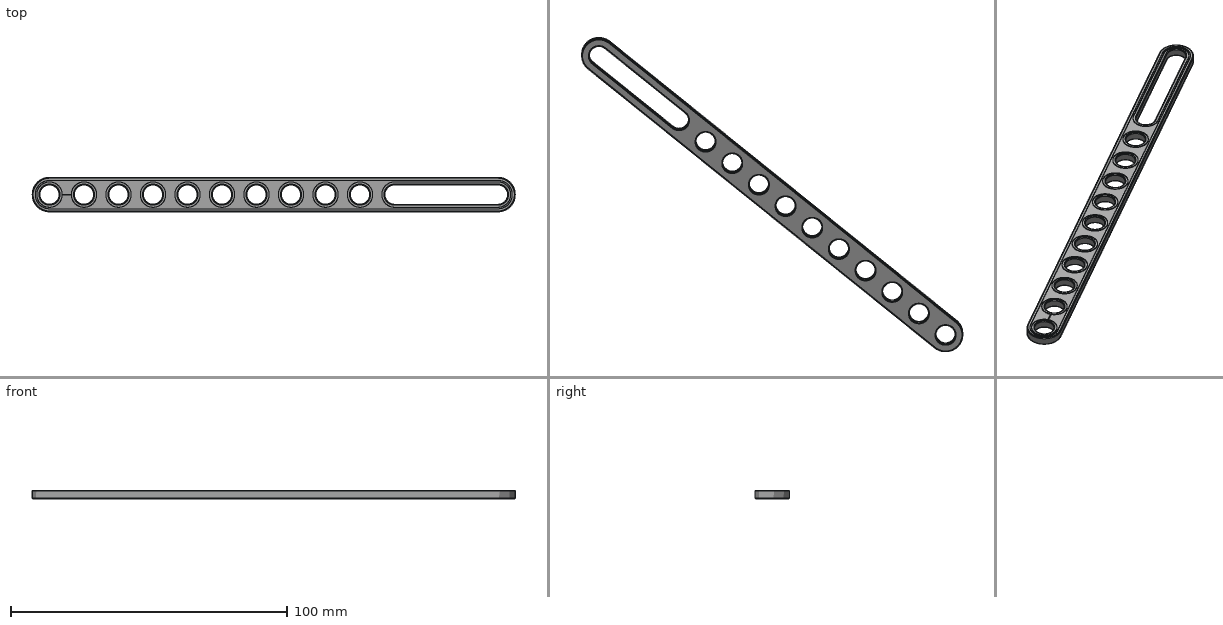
import cadquery as cq

pitch = 12.5
position_count = 14
round_hole_count = 10
hole_diameter = 7.0
collar_diameter = 9.2
rim_width = 1.1
recess_depth = 0.2
edge_chamfer = 0.3
groove_width = 0.2
groove_depth = 0.2

width = pitch
thickness = pitch / 4
half_span = (position_count - 1) * pitch / 2
first_hole_x = -half_span
slot_start_x = first_hole_x + round_hole_count * pitch
slot_end_x = half_span
recess_floor_z = thickness - recess_depth


def rounded_bar(start_x, end_x, diameter, bottom_z, height):
    """Round-ended bar whose end arcs are centred on start_x and end_x."""
    span = end_x - start_x
    return (
        cq.Workplane("XY", origin=((start_x + end_x) / 2, 0, bottom_z))
        .slot2D(span + diameter, diameter)
        .extrude(height)
    )


def hole_cylinders(diameter, bottom_z, height):
    """One cylinder on each round hole position."""
    centers = [(first_hole_x + i * pitch, 0) for i in range(round_hole_count)]
    return (
        cq.Workplane("XY", origin=(0, 0, bottom_z))
        .pushPoints(centers)
        .circle(diameter / 2)
        .extrude(height)
    )


def perforated_strip():
    """Round-ended strip with its holes and slot, every top and bottom edge chamfered."""
    strip = rounded_bar(-half_span, half_span, width, 0, thickness)
    strip = strip.cut(hole_cylinders(hole_diameter, 0, thickness))
    strip = strip.cut(rounded_bar(slot_start_x, slot_end_x, hole_diameter, 0, thickness))
    return strip.faces("<Z or >Z").edges().chamfer(edge_chamfer)


def top_recess():
    """Shallow recess inside the rim, interrupted by the collars round the holes and the slot."""
    recess = rounded_bar(-half_span, half_span, width - 2 * rim_width, recess_floor_z, recess_depth)
    hole_collars = hole_cylinders(collar_diameter, recess_floor_z, recess_depth)
    slot_collar = rounded_bar(slot_start_x, slot_end_x, collar_diameter, recess_floor_z, recess_depth)
    return recess.cut(hole_collars).cut(slot_collar)


def marker_groove():
    """Thin groove in the recess floor, running between the collars of the first two holes."""
    return (
        cq.Workplane("XY", origin=(first_hole_x + pitch / 2, 0, recess_floor_z - groove_depth))
        .rect(pitch - collar_diameter, groove_width)
        .extrude(groove_depth)
    )


result = perforated_strip().cut(top_recess()).cut(marker_groove())